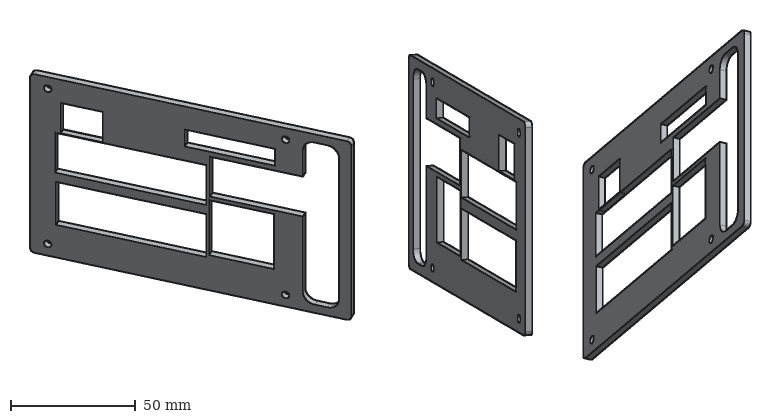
import cadquery as cq

plate_width = 137.2
plate_height = 87.6
plate_thickness = 3.0
plate_corner_radius = 2.0

hole_diameter = 3.2
hole_edge_distance = 5.8
hole_left_x = 7.5
hole_right_x = 109.0

slot_left = 116.5
slot_right = 131.8
slot_edge_distance = 4.1
slot_corner_radius = 5.0

upper_row_top = 76.3
long_window_right = 75.2

square_window = (13.2, 31.0, 61.5, upper_row_top)
narrow_window = (66.1, 104.5, 68.0, upper_row_top)
upper_long_window = (10.7, long_window_right, 41.5, 61.0)
lower_long_window = (11.1, long_window_right, 16.0, 37.0)
large_window = (76.4, 104.1, 17.3, 44.2)
branch_overlap = 2.7
side_branch = (76.8, slot_left + branch_overlap, 46.1, 65.5)


def block(left, right, bottom, top):
    """Box through the plate thickness, centred on Y = 0."""
    return cq.Workplane("XY").box(
        right - left, plate_thickness, top - bottom, centered=(False, True, False)
    ).translate((left, 0, bottom))


plate = block(0, plate_width, 0, plate_height).edges("|Y").fillet(plate_corner_radius)

tall_slot = block(slot_left, slot_right, slot_edge_distance, plate_height - slot_edge_distance)
plate = plate.cut(tall_slot.edges("|Y").fillet(slot_corner_radius))

for window in (
    square_window,
    narrow_window,
    upper_long_window,
    lower_long_window,
    large_window,
    side_branch,
):
    plate = plate.cut(block(*window))

hole_centers = [
    (x, z)
    for x in (hole_left_x, hole_right_x)
    for z in (hole_edge_distance, plate_height - hole_edge_distance)
]
holes = (
    cq.Workplane("XZ")
    .pushPoints(hole_centers)
    .circle(hole_diameter / 2)
    .extrude(plate_thickness / 2, both=True)
)

result = plate.cut(holes)